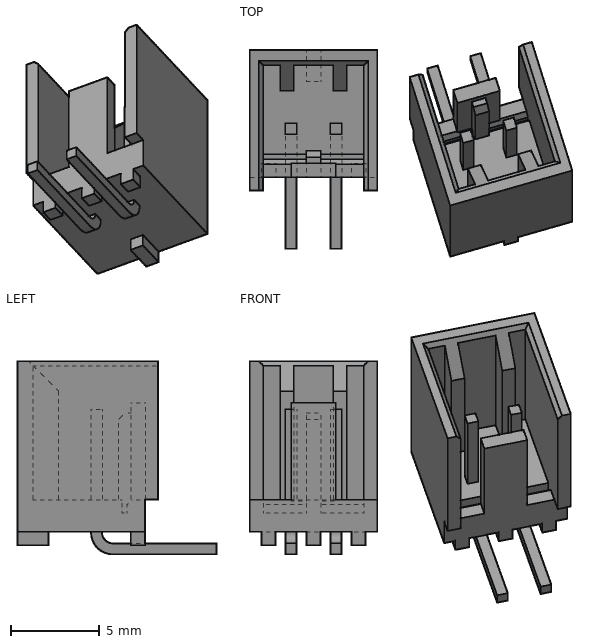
import cadquery as cq


width = 7.21
body_depth = 7.21
side_wall_depth = 7.95
height = 9.65
floor_height = 1.83
side_wall = 0.76
back_wall = 0.88
cavity_width = width - 2 * side_wall
lead_in = 0.25

rib_width = 0.76
rib_spacing = 2.97
rib_depth = 1.44

latch_width = 2.51
latch_thickness = 0.81
latch_top = 7.31
key_width = 0.81
key_depth = 0.71
key_chamfer = 0.38
key_drop = 0.56
groove_back = 5.9
groove_width = 0.56
groove_chamfer = groove_width / 2
groove_depth = 0.75

peg_width = 0.81
peg_height = 0.75
front_peg_depth = 0.81
back_peg_depth = 1.77

pitch = 2.54
pin_size = 0.63
pin_back = 4.15
pin_top = 6.93
pin_bottom = -1.27
pin_reach = 11.25
bend_inner_radius = 0.62


def block(x_mid, x_size, y_front, y_back, z_low, z_high):
    """Box centred on x_mid between the given Y and Z limits."""
    corner = (x_mid - x_size / 2, y_front, z_low)
    return cq.Workplane("XY").box(
        x_size, y_back - y_front, z_high - z_low, centered=False
    ).translate(corner)


def side_profile(points, x_mid, x_size):
    """Prism with a closed (Y, Z) outline, centred on x_mid."""
    return (
        cq.Workplane("YZ", origin=(x_mid - x_size / 2, 0, 0))
        .polyline(points).close().extrude(x_size)
    )


def make_housing():
    """Open-front shell with a floor and a lead-in round the top."""
    shell = block(0, width, -side_wall_depth, 0, floor_height, height)
    base = block(0, width, -body_depth, 0, 0, floor_height)
    cavity = block(0, cavity_width, -side_wall_depth, -back_wall, floor_height, height)
    housing = shell.cut(cavity).union(base)

    back_slope = side_profile(
        [
            (-back_wall, height - lead_in),
            (-back_wall + lead_in, height),
            (-side_wall_depth, height),
            (-side_wall_depth, height - lead_in),
        ],
        0, cavity_width + 2 * lead_in,
    )
    half = cavity_width / 2
    side_slopes = (
        cq.Workplane("XZ")
        .polyline([
            (-half, height - lead_in),
            (-half - lead_in, height),
            (half + lead_in, height),
            (half, height - lead_in),
        ])
        .close().extrude(side_wall_depth)
    )
    return housing.cut(back_slope.intersect(side_slopes))


def make_rib(x_mid):
    """Guide rib whose 45-degree top continues the back lead-in."""
    wall_top = height - lead_in
    front = -back_wall - rib_depth
    return side_profile(
        [
            (-back_wall, floor_height),
            (-back_wall, wall_top),
            (front, wall_top - rib_depth),
            (front, floor_height),
        ],
        x_mid, rib_width,
    )


def make_groove():
    """Groove behind the latch with a chamfered front edge."""
    bottom = floor_height - groove_depth
    return side_profile(
        [
            (-groove_back, floor_height),
            (-groove_back, bottom),
            (-groove_back - groove_width + groove_chamfer, bottom),
            (-groove_back - groove_width + groove_chamfer, floor_height - groove_chamfer),
            (-groove_back - groove_width, floor_height),
        ],
        0, cavity_width,
    )


def make_latch():
    """Upright tongue with a chamfered key on its inner face."""
    foot = floor_height - groove_depth
    inner = latch_thickness - body_depth
    tongue = block(0, latch_width, -body_depth, inner, foot, latch_top)
    key_top = latch_top - key_drop
    key = side_profile(
        [
            (inner, foot),
            (inner, key_top),
            (inner + key_depth - key_chamfer, key_top),
            (inner + key_depth, key_top - key_chamfer),
            (inner + key_depth, foot),
        ],
        0, key_width,
    )
    return tongue.union(key)


def make_pin(x_mid):
    """Square pin bent from vertical to run out at the front."""
    bend_outer_radius = bend_inner_radius + pin_size
    bend_y = -pin_back - bend_outer_radius
    bend_z = pin_bottom + bend_outer_radius
    outline = (
        cq.Workplane("YZ", origin=(x_mid - pin_size / 2, 0, 0))
        .moveTo(-pin_back, pin_top)
        .lineTo(-pin_back, bend_z)
        .radiusArc((bend_y, pin_bottom), bend_outer_radius)
        .lineTo(-pin_reach, pin_bottom)
        .lineTo(-pin_reach, pin_bottom + pin_size)
        .lineTo(bend_y, pin_bottom + pin_size)
        .radiusArc((-pin_back - pin_size, bend_z), -bend_inner_radius)
        .lineTo(-pin_back - pin_size, pin_top)
        .close()
    )
    return outline.extrude(pin_size)


result = make_housing().cut(make_groove()).union(make_latch())

for side in (-1, 1):
    result = result.union(make_rib(side * rib_spacing / 2))
    result = result.union(make_pin(side * pitch / 2))

for column in (-1, 0, 1):
    peg_x = column * pitch
    front_peg = block(peg_x, peg_width, -body_depth, front_peg_depth - body_depth, -peg_height, 0)
    result = result.union(front_peg)

back_peg = block(0, peg_width, -back_peg_depth, 0, -peg_height, 0)
result = result.union(back_peg)